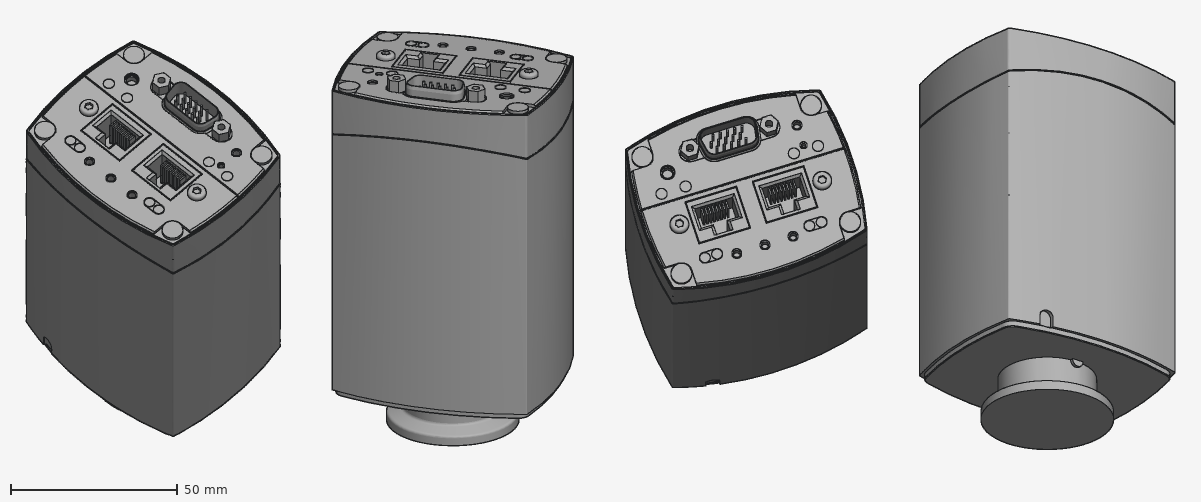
import cadquery as cq
import math

body_length_x = 67.0
body_width_y = 56.0
corner_x = 30.75
corner_y = 23.25
plate_bottom_z = 13.45
body_bottom_z = 15.3
rim_top_z = 113.6
panel_z = 114.0
connector_top_z = 117.3

body_corner_radius = 0.5
cap_corner_radius = 1.0
rim_chamfer = 0.25
seam_peak_z = 102.7
seam_edge_z = 98.4
seam_width = 0.3
seam_depth = 0.25

base_inset = 0.9
base_corner_radius = 4.0
base_chamfer = 0.25

panel_inset = 1.1
panel_chamfer = 0.5
moat_outer_inset = 0.6
moat_floor_z = 113.0
panel_split_y = 3.4
panel_split_width = 0.4
panel_split_depth = 0.8
corner_screw_x = 26.65
corner_screw_y = 19.3
corner_screw_diameter = 6.3
corner_notch_radius = 3.3

flange_radius = 20.0
flange_rim_height = 3.05
flange_cone_angle = 15.0
tube_radius = 29.8 / 2
flange_rim_fillet = 0.9
flange_neck_fillet = 0.85
tab_radius = 1.9
tab_front_y = -15.8
tab_center_z = 13.3

notch_x = -18.95
notch_radius = 2.1
notch_center_z = 18.3
notch_floor_y = -25.3

dsub_y = 16.55
dsub_half_width = 9.5
dsub_height = 9.26
dsub_side_angle = 10.0
dsub_corner_radius = 3.0
dsub_wall = 0.5
dsub_lead_in_height = 1.2
dsub_lead_in = 0.3
dsub_floor_z = 111.5
dsub_clearance = 0.85
dsub_recess_depth = 0.6
dsub_skirt_bevel = 0.55
pin_diameter = 0.7
pin_top_z = 116.3
pin_pitch = 2.29
pin_row_pitch = 1.98
pins_per_row = 5
standoff_x = 12.5
standoff_across_flats = 5.0
standoff_hole_diameter = 2.16
standoff_hole_depth = 5.0
ear_radius = 3.25

jack_x = 10.63
jack_y = -5.1
jack_width = 15.8
jack_height = 13.3
jack_gap = 0.25
jack_gap_depth = 0.6
jack_floor_z = 103.0
opening_width = 13.5
opening_top_y = -0.2
opening_bottom_y = -8.2
opening_bevel = 0.8
lead_in_angle = 45.0
keyway_width = 5.9
keyway_bevel = 0.8
keyway_bottom_y = -10.9
contact_count = 8
contact_pitch = 1.1
contact_width = 0.5
contact_length = 2.6
contact_top_z = 112.0

screw_x = 22.55
screw_y = -4.5
screw_head_diameter = 5.7
screw_head_height = 1.4
screw_head_fillet = 0.95
screw_socket_diameter = 2.6
screw_socket_depth = 1.0

window_diameter = 3.4
window_depth = 0.2
window_y = 6.4
window_xs = (-24.7, -17.1, 17.1, 24.7)
lamp_diameter = 3.2
lamp_slot_x = 16.5
lamp_slot_y = -16.75
lamp_spacing = 3.8
lamp_slot_depth = 0.3
jack_socket_center = (-20.9, 12.3)
jack_socket_diameters = (4.4, 4.0, 3.2)
small_hole_diameters = (3.0, 2.16)
small_hole_centers = ((-8.9, -18.4), (0, -18.4), (8.9, -18.4), (20.7, 14.6))
button_hole_center = (20.65, 8.0)
button_hole_diameters = (2.16, 1.3)
step_depth = 0.5
hole_depth = 3.0


def bowed_prism(inset, z_low, z_high, corner_radius):
    """Four-sided prism with outward bowed sides, shrunk evenly by inset."""
    half_x = body_length_x / 2
    half_y = body_width_y / 2
    outline = (
        cq.Workplane("XY")
        .workplane(offset=z_low)
        .moveTo(-corner_x, -corner_y)
        .threePointArc((0, -half_y), (corner_x, -corner_y))
        .threePointArc((half_x, 0), (corner_x, corner_y))
        .threePointArc((0, half_y), (-corner_x, corner_y))
        .threePointArc((-half_x, 0), (-corner_x, -corner_y))
        .close()
    )
    if inset > 0:
        outline = outline.offset2D(-inset)
    return outline.extrude(z_high - z_low).edges("|Z").fillet(corner_radius)


def cylinder(center, diameter, z_low, z_high):
    return (
        cq.Workplane("XY")
        .workplane(offset=z_low)
        .center(*center)
        .circle(diameter / 2)
        .extrude(z_high - z_low)
    )


def box(x_low, x_high, y_low, y_high, z_low, z_high):
    size = (x_high - x_low, y_high - y_low, z_high - z_low)
    return cq.Workplane("XY").box(*size, centered=False).translate((x_low, y_low, z_low))


def above_seam(shift):
    """Everything above the arched parting surface, moved up by shift."""
    reach = body_length_x / 2
    edge = seam_edge_z + shift
    return (
        cq.Workplane("XZ")
        .moveTo(-reach, edge)
        .threePointArc((0, seam_peak_z + shift), (reach, edge))
        .lineTo(reach, connector_top_z)
        .lineTo(-reach, connector_top_z)
        .close()
        .extrude(body_width_y / 2, both=True)
    )


def make_housing():
    body = bowed_prism(0, body_bottom_z, rim_top_z, body_corner_radius)
    body = body.cut(above_seam(-seam_width / 2))
    cap = bowed_prism(0, body_bottom_z, rim_top_z, cap_corner_radius)
    cap = cap.faces(">Z").edges().chamfer(rim_chamfer)
    cap = cap.intersect(above_seam(seam_width / 2))
    core = bowed_prism(seam_depth, body_bottom_z, moat_floor_z, cap_corner_radius)
    base = bowed_prism(base_inset, plate_bottom_z, body_bottom_z, base_corner_radius)
    base = base.faces("<Z").edges().chamfer(base_chamfer)
    return body.union(core).union(cap).union(base)


def add_panel(part):
    moat = bowed_prism(moat_outer_inset, moat_floor_z, panel_z, cap_corner_radius)
    panel = bowed_prism(panel_inset, moat_floor_z, panel_z, cap_corner_radius)
    panel = panel.faces(">Z").edges().chamfer(panel_chamfer)
    split_low = panel_split_y - panel_split_width / 2
    split = box(
        -body_length_x, body_length_x, split_low, split_low + panel_split_width,
        panel_z - panel_split_depth, panel_z,
    )
    panel = panel.cut(split)
    for side_x in (-1, 1):
        for side_y in (-1, 1):
            center = (side_x * corner_screw_x, side_y * corner_screw_y)
            notch_size = body_length_x / 2
            shift = notch_size / 2 - corner_notch_radius
            notch = (
                cq.Workplane("XY")
                .workplane(offset=moat_floor_z)
                .center(center[0] + side_x * shift, center[1] + side_y * shift)
                .rect(notch_size, notch_size)
                .extrude(panel_z - moat_floor_z)
                .edges("|Z")
                .fillet(corner_notch_radius)
            )
            panel = panel.cut(notch)
            panel = panel.union(cylinder(center, corner_screw_diameter, moat_floor_z, panel_z))
    return part.cut(moat).union(panel)


def add_vacuum_flange(part):
    cone_rise = (flange_radius - tube_radius) * math.tan(math.radians(flange_cone_angle))
    neck_z = flange_rim_height + cone_rise
    flange = (
        cq.Workplane("XZ")
        .polyline([
            (0, 0),
            (flange_radius, 0),
            (flange_radius, flange_rim_height),
            (tube_radius, neck_z),
            (tube_radius, body_bottom_z),
            (0, body_bottom_z),
        ])
        .close()
        .revolve(360, (0, 0, 0), (0, 1, 0))
    )
    rim_point = (0, -flange_radius, flange_rim_height)
    neck_point = (0, -tube_radius, neck_z)
    flange = flange.edges(cq.NearestToPointSelector(neck_point)).fillet(flange_neck_fillet)
    flange = flange.edges(cq.NearestToPointSelector(rim_point)).fillet(flange_rim_fillet)
    tab = (
        cq.Workplane("XZ")
        .center(0, tab_center_z)
        .circle(tab_radius)
        .extrude(-tab_front_y)
        .intersect(box(-tab_radius, tab_radius, tab_front_y, 0, 0, body_bottom_z))
    )
    return part.union(flange).union(tab)


def cut_side_notch(part):
    front_y = -body_width_y / 2
    notch = (
        cq.Workplane("XZ", origin=(notch_x, front_y, notch_center_z))
        .circle(notch_radius)
        .extrude(front_y - notch_floor_y)
    )
    slot = box(
        notch_x - notch_radius, notch_x + notch_radius, front_y, notch_floor_y,
        body_bottom_z, notch_center_z,
    )
    return part.cut(notch).cut(slot)


def dsub_prism(growth, z_low, z_high):
    """Rounded D-shape, wide side towards +Y, grown outward by growth."""
    lean = dsub_height * math.tan(math.radians(dsub_side_angle))
    half_height = dsub_height / 2
    narrow = dsub_half_width - lean
    prism = (
        cq.Workplane("XY")
        .workplane(offset=z_low)
        .center(0, dsub_y)
        .polyline([
            (-dsub_half_width, half_height),
            (dsub_half_width, half_height),
            (narrow, -half_height),
            (-narrow, -half_height),
        ])
        .close()
    )
    if growth != 0:
        prism = prism.offset2D(growth, "intersection")
    prism = prism.extrude(z_high - z_low)
    return prism.edges("|Z").fillet(dsub_corner_radius + growth)


def add_dsub(part):
    recess_z = panel_z - dsub_recess_depth
    ears = (
        cq.Workplane("XY")
        .workplane(offset=recess_z)
        .center(0, dsub_y)
        .slot2D(2 * (standoff_x + ear_radius), 2 * ear_radius)
        .extrude(dsub_recess_depth)
    )
    part = part.cut(ears).cut(dsub_prism(dsub_clearance, recess_z, panel_z))

    skirt = dsub_prism(dsub_clearance, recess_z, panel_z)
    skirt = skirt.faces(">Z").edges().chamfer(dsub_skirt_bevel)
    lead_in_taper = math.degrees(math.atan(dsub_lead_in / dsub_lead_in_height))
    shell = (
        dsub_prism(0, recess_z, connector_top_z - dsub_lead_in_height)
        .faces(">Z")
        .wires()
        .toPending()
        .extrude(dsub_lead_in_height, taper=lead_in_taper)
    )
    part = part.union(skirt).union(shell)
    part = part.cut(dsub_prism(-dsub_wall, dsub_floor_z, connector_top_z))

    for row in (-1, 0, 1):
        row_shift = -pin_pitch / 2 if row == 0 else 0
        for column in range(pins_per_row):
            pin_x = (column - (pins_per_row - 1) / 2) * pin_pitch + row_shift
            pin_y = dsub_y + row * pin_row_pitch
            part = part.union(cylinder((pin_x, pin_y), pin_diameter, dsub_floor_z, pin_top_z))

    for side in (-1, 1):
        center = (side * standoff_x, dsub_y)
        standoff = (
            cq.Workplane("XY")
            .workplane(offset=recess_z)
            .center(*center)
            .polygon(6, standoff_across_flats / math.cos(math.pi / 6))
            .extrude(connector_top_z - recess_z)
        )
        hole_bottom = connector_top_z - standoff_hole_depth
        hole = cylinder(center, standoff_hole_diameter, hole_bottom, connector_top_z)
        part = part.union(standoff).cut(hole)
    return part


def beveled_pocket(x_center, width, y_low, y_high, bevel):
    """Deep rectangular pocket in the jack with sloped sides at its mouth."""
    pocket = box(
        x_center - width / 2 + bevel, x_center + width / 2 - bevel,
        y_low + bevel, y_high - bevel, jack_floor_z, panel_z,
    )
    lead_in = (
        cq.Workplane("XY")
        .workplane(offset=panel_z)
        .center(x_center, (y_low + y_high) / 2)
        .rect(width, y_high - y_low)
        .extrude(-bevel, taper=lead_in_angle)
    )
    return pocket.union(lead_in)


def add_jack(part, x_center):
    gap_bottom = panel_z - jack_gap_depth
    left = x_center - jack_width / 2
    right = x_center + jack_width / 2
    low = jack_y - jack_height / 2
    high = jack_y + jack_height / 2
    surround = box(
        left - jack_gap, right + jack_gap, low - jack_gap, high + jack_gap, gap_bottom, panel_z
    )
    block = box(left, right, low, high, gap_bottom, panel_z)
    part = part.cut(surround).union(block)

    part = part.cut(
        beveled_pocket(x_center, opening_width, opening_bottom_y, opening_top_y, opening_bevel)
    )
    inner_half = keyway_width / 2 - keyway_bevel
    keyway = box(
        x_center - inner_half, x_center + inner_half, keyway_bottom_y, jack_y, jack_floor_z, panel_z
    )
    keyway_lead_in = (
        cq.Workplane("XZ", origin=(x_center, opening_bottom_y + opening_bevel, panel_z))
        .polyline([
            (-keyway_width / 2, 0),
            (keyway_width / 2, 0),
            (inner_half, -keyway_bevel),
            (-inner_half, -keyway_bevel),
        ])
        .close()
        .extrude(opening_bottom_y + opening_bevel - keyway_bottom_y)
    )
    part = part.cut(keyway).cut(keyway_lead_in)

    contact_high = opening_top_y - opening_bevel
    for index in range(contact_count):
        contact_x = x_center + (index - (contact_count - 1) / 2) * contact_pitch
        contact = box(
            contact_x - contact_width / 2, contact_x + contact_width / 2,
            contact_high - contact_length, contact_high, jack_floor_z, contact_top_z,
        )
        part = part.union(contact)
    return part


def add_panel_screw(part, x_center):
    center = (x_center, screw_y)
    top_z = panel_z + screw_head_height
    head = cylinder(center, screw_head_diameter, panel_z, top_z)
    head = head.faces(">Z").edges().fillet(screw_head_fillet)
    socket = (
        cq.Workplane("XY")
        .workplane(offset=top_z - screw_socket_depth)
        .center(*center)
        .polygon(6, screw_socket_diameter)
        .extrude(screw_socket_depth)
    )
    return part.union(head).cut(socket)


def stepped_hole(part, center, diameters):
    """Hole narrowing in equal steps, with the last diameter running to full depth."""
    for step, diameter in enumerate(diameters, start=1):
        depth = hole_depth if step == len(diameters) else step * step_depth
        part = part.cut(cylinder(center, diameter, panel_z - depth, panel_z))
    return part


def add_indicators_and_holes(part):
    for x in window_xs:
        part = part.cut(cylinder((x, window_y), window_diameter, panel_z - window_depth, panel_z))
    slot_floor = panel_z - lamp_slot_depth
    for side in (-1, 1):
        slot = (
            cq.Workplane("XY")
            .workplane(offset=slot_floor)
            .center(side * lamp_slot_x, lamp_slot_y)
            .slot2D(lamp_spacing + window_diameter, window_diameter)
            .extrude(lamp_slot_depth)
        )
        part = part.cut(slot)
        for lamp in (-1, 1):
            center = (side * lamp_slot_x + lamp * lamp_spacing / 2, lamp_slot_y)
            part = part.union(cylinder(center, lamp_diameter, slot_floor, panel_z))
    for center in small_hole_centers:
        part = stepped_hole(part, center, small_hole_diameters)
    part = stepped_hole(part, jack_socket_center, jack_socket_diameters)
    return stepped_hole(part, button_hole_center, button_hole_diameters)


result = make_housing()
result = add_panel(result)
result = add_vacuum_flange(result)
result = cut_side_notch(result)
result = add_dsub(result)
for side in (-1, 1):
    result = add_jack(result, side * jack_x)
    result = add_panel_screw(result, side * screw_x)
result = add_indicators_and_holes(result)